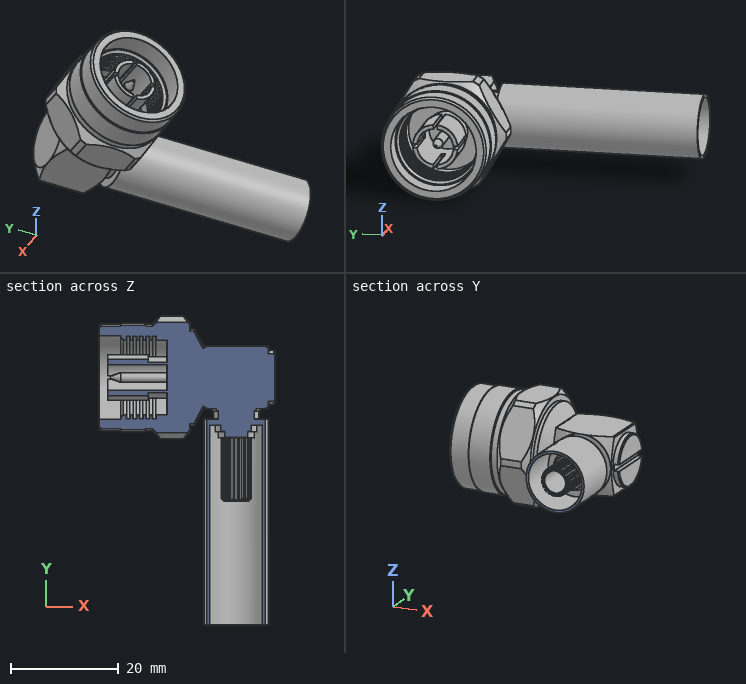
import cadquery as cq
import math


barrel_radius = 9.9
barrel_chamfer = 0.4
band_start = 4.0
band_end = 8.7
band_radius = 10.1
band_bevel = 0.2
hex_start = 9.9
hex_end = 16.9
hex_flats = 20.4
hex_corner_radius = 11.4
hex_rear_radius = 10.15

neck_radius = 9.0
neck_cone_start = 17.65

block_start = 19.45
block_end = 31.5
block_half = 5.85
block_cone_radius = 5.9
block_cone_angle = 28
block_edge_length = 0.25
block_edge_drop = 0.1
cable_x = (block_start + block_end) / 2

cap_end = 32.7
cap_radius = 5.1
cap_chamfer = 0.25
cap_slot_width = 1.3
cap_slot_depth = 1.0

mouth_radius = 8.1
thread_start = band_start
thread_lip_radius = 7.85
thread_minor_radius = 7.35
thread_pitch = 1.2
thread_count = 5
thread_depth = 0.7
thread_groove_width = 0.6
socket_depth = 12.6

sleeve_tip = 1.6
sleeve_radius = 4.25
sleeve_root_radius = 3.85
sleeve_bore_radius = 3.45
sleeve_slot_width = 0.7
sleeve_slot_end = 9.2
pin_tip = 2.05
pin_radius = 0.9
pin_tip_radius = 0.2
pin_cone_length = 2.0

collar_end = 6.25
collar_radius = 4.55
arm_neck_radius = 4.25
tube_start = 7.7
tube_end = 45.95
tube_radius = 6.0
tube_bore_radius = 5.45
tube_floor = 8.9

stem_flange_end = 10.05
stem_flange_radius = 3.85
stem_shoulder_end = 11.2
stem_shoulder_radius = 3.3
stem_end = 22.95
stem_radius = 2.8
stem_bore_radius = 2.1
stem_chamfer = 0.6
knurl_count = 20
knurl_depth = 0.35


def revolve_x(profile):
    """Revolve (x, radius) points about the X axis."""
    return cq.Workplane("XY").polyline(profile).close().revolve(360, (0, 0, 0), (1, 0, 0))


def rod_x(start, end, radius):
    """Cylinder on the X axis."""
    return cq.Workplane("YZ", origin=(start, 0, 0)).circle(radius).extrude(end - start)


def rod_arm(start, end, radius):
    """Cylinder on the cable axis, between two distances along -Y."""
    return cq.Workplane("XZ", origin=(cable_x, -start, 0)).circle(radius).extrude(end - start)


def make_barrel():
    """Round front of the nut with its raised, bevelled band."""
    return revolve_x([
        (0, 0),
        (0, barrel_radius - barrel_chamfer),
        (barrel_chamfer, barrel_radius),
        (band_start, barrel_radius),
        (band_start + band_bevel, band_radius),
        (band_end - band_bevel, band_radius),
        (band_end, barrel_radius),
        (hex_start, barrel_radius),
        (hex_start, 0),
    ])


def make_hex():
    """Hexagon with corners on Y, turned to a corner radius and chamfered at 45 degrees."""
    across_corners = hex_flats / math.cos(math.pi / 6)
    hex_length = hex_end - hex_start
    prism = cq.Workplane("YZ", origin=(hex_start, 0, 0)).polygon(6, across_corners).extrude(hex_length)
    envelope = revolve_x([
        (hex_start, 0),
        (hex_start, barrel_radius),
        (hex_start + hex_corner_radius - barrel_radius, hex_corner_radius),
        (hex_end - hex_corner_radius + hex_rear_radius, hex_corner_radius),
        (hex_end, hex_rear_radius),
        (hex_end, 0),
    ])
    return prism.intersect(envelope)


def make_neck():
    """Short cylinder and cone from the nut down to the block."""
    return revolve_x([
        (hex_end, 0),
        (hex_end, neck_radius),
        (neck_cone_start, neck_radius),
        (block_start, block_half),
        (block_start, 0),
    ])


def make_block():
    """Square elbow block, its corners coned off around the cable axis at both Y ends."""
    side_profile = [
        (block_start, -block_half),
        (block_end - block_edge_length, -block_half),
        (block_end, -block_half + block_edge_drop),
        (block_end, block_half - block_edge_drop),
        (block_end - block_edge_length, block_half),
        (block_start, block_half),
    ]
    square = cq.Workplane("XZ", origin=(0, block_half, 0)).polyline(side_profile).close().extrude(2 * block_half)
    cone_drop = block_half * math.tan(math.radians(block_cone_angle))
    rim = block_cone_radius + block_half
    envelope = (
        cq.Workplane("XY", origin=(cable_x, 0, 0))
        .polyline([
            (0, -block_half),
            (block_cone_radius, -block_half),
            (rim, -block_half + cone_drop),
            (rim, block_half - cone_drop),
            (block_cone_radius, block_half),
            (0, block_half),
        ])
        .close()
        .revolve(360, (0, 0, 0), (0, 1, 0))
    )
    return square.intersect(envelope)


def make_cap():
    """Round cap with a screwdriver slot along Y."""
    cap = rod_x(block_end, cap_end, cap_radius).faces(">X").chamfer(cap_chamfer)
    slot = cq.Workplane("XY").box(2 * cap_slot_depth, 2 * cap_radius, cap_slot_width)
    return cap.cut(slot.translate((cap_end, 0, 0)))


def make_socket():
    """Void inside the nut: smooth mouth, lead-in chamfer and ring grooves for the thread."""
    lead_in = thread_lip_radius - thread_minor_radius
    socket = revolve_x([
        (0, 0),
        (0, mouth_radius),
        (thread_start, mouth_radius),
        (thread_start, thread_lip_radius),
        (thread_start + lead_in, thread_minor_radius),
        (socket_depth, thread_minor_radius),
        (socket_depth, 0),
    ])
    for turn in range(thread_count):
        groove_end = thread_start + lead_in + (turn + 1) * thread_pitch
        groove = rod_x(groove_end - thread_groove_width, groove_end, thread_minor_radius + thread_depth)
        socket = socket.union(groove)
    return socket


def make_sleeve():
    """Spring sleeve with four slots, one on each side of Y and Z, and a slimmer root."""
    sleeve = rod_x(sleeve_tip, sleeve_slot_end, sleeve_radius)
    slot_length = sleeve_slot_end - sleeve_tip
    slot_x = (sleeve_tip + sleeve_slot_end) / 2
    for size_y, size_z in [(2 * sleeve_radius, sleeve_slot_width), (sleeve_slot_width, 2 * sleeve_radius)]:
        sleeve = sleeve.cut(cq.Workplane("XY").box(slot_length, size_y, size_z).translate((slot_x, 0, 0)))
    root = rod_x(sleeve_slot_end, socket_depth, sleeve_root_radius)
    return sleeve.union(root).cut(rod_x(sleeve_tip, socket_depth, sleeve_bore_radius))


def make_pin():
    """Centre pin with a blunt conical tip."""
    return revolve_x([
        (pin_tip, 0),
        (pin_tip, pin_tip_radius),
        (pin_tip + pin_cone_length, pin_radius),
        (socket_depth, pin_radius),
        (socket_depth, 0),
    ])


def make_stem():
    """Stepped stem with straight knurl grooves and a blind bore down to its flange."""
    stem = rod_arm(stem_shoulder_end, stem_end, stem_radius).faces("<Y").chamfer(stem_chamfer)
    groove_width = math.pi * stem_radius / knurl_count
    knurl_length = stem_end - stem_shoulder_end
    grooves = (
        cq.Workplane("XZ", origin=(cable_x, -stem_shoulder_end, 0))
        .polarArray(stem_radius, 0, 360, knurl_count)
        .rect(2 * knurl_depth, groove_width)
        .extrude(knurl_length)
    )
    flange = rod_arm(tube_floor, stem_flange_end, stem_flange_radius)
    shoulder = rod_arm(stem_flange_end, stem_shoulder_end, stem_shoulder_radius)
    bore = rod_arm(tube_floor, stem_end, stem_bore_radius)
    return stem.cut(grooves).union(shoulder).union(flange).cut(bore)


def make_cable_arm():
    """Collar, neck and crimp tube with the stem inside."""
    collar = rod_arm(block_half, collar_end, collar_radius)
    neck = rod_arm(collar_end, tube_start, arm_neck_radius)
    tube = rod_arm(tube_start, tube_end, tube_radius)
    tube = tube.cut(rod_arm(tube_floor, tube_end, tube_bore_radius))
    return collar.union(neck).union(tube).union(make_stem())


nut = make_barrel().union(make_hex()).cut(make_socket())
plug = nut.union(make_sleeve()).union(make_pin()).union(make_neck())
result = plug.union(make_block()).union(make_cap()).union(make_cable_arm())